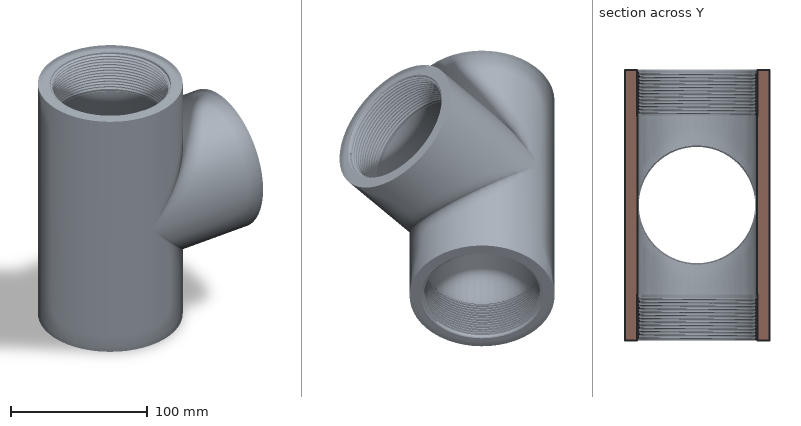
import cadquery as cq

run_length = 198.0
outer_diameter = 106.0
branch_reach = 99.0
bore_diameter = 87.0

socket_diameter = 88.0
socket_depth = 33.7
mouth_chamfer = 0.5
crest_diameter = 85.0
thread_pitch = 2.4
thread_turns = 13
thread_inset = 1.4
root_width = 1.5
crest_width = 0.4


def cylinder(diameter, length):
    """Cylinder standing on the XY plane."""
    return cq.Workplane("XY").circle(diameter / 2).extrude(length)


def at_top(body):
    """Move a body built upward from its mouth so that it enters the top mouth."""
    return body.rotate((0, 0, 0), (1, 0, 0), 180).translate((0, 0, run_length / 2))


def at_bottom(body):
    """Move a body built upward from its mouth so that it enters the bottom mouth."""
    return body.translate((0, 0, -run_length / 2))


def at_branch(body):
    """Move a body built upward from its mouth so that it enters the +Y branch mouth."""
    return body.rotate((0, 0, 0), (1, 0, 0), 90).translate((0, branch_reach, 0))


mouth_placements = [at_top, at_bottom, at_branch]


def tee_shape(diameter):
    """Through run along Z joined by a branch of the same diameter toward +Y."""
    run = at_bottom(cylinder(diameter, run_length))
    branch = at_branch(cylinder(diameter, branch_reach))
    return run.union(branch)


def make_socket():
    """Cutter for one socket with its chamfered mouth at Z = 0."""
    mouth_radius = socket_diameter / 2 + mouth_chamfer
    lead_in = cq.Workplane("XY").circle(mouth_radius).extrude(mouth_chamfer, taper=45)
    return cylinder(socket_diameter, socket_depth).union(lead_in)


def make_housing():
    """Hollow tee with a wider, chamfered socket bored into each mouth."""
    housing = tee_shape(outer_diameter).cut(tee_shape(bore_diameter))
    for place in mouth_placements:
        housing = housing.cut(place(make_socket()))
    return housing


def make_thread():
    """Helical ridge of trapezoidal section, rising from its mouth at Z = 0."""
    root_radius = socket_diameter / 2
    crest_radius = crest_diameter / 2
    helix = cq.Wire.makeHelix(thread_pitch, thread_pitch * thread_turns, root_radius)
    ridge = (
        cq.Workplane("XZ")
        .moveTo(root_radius, -root_width / 2)
        .lineTo(crest_radius, -crest_width / 2)
        .lineTo(crest_radius, crest_width / 2)
        .lineTo(root_radius, root_width / 2)
        .close()
        .sweep(cq.Workplane(helix), isFrenet=True)
    )
    return ridge.translate((0, 0, thread_inset))


housing = make_housing()
threads = [place(make_thread()) for place in mouth_placements]

result = cq.Compound.makeCompound([housing.val(), *[thread.val() for thread in threads]])